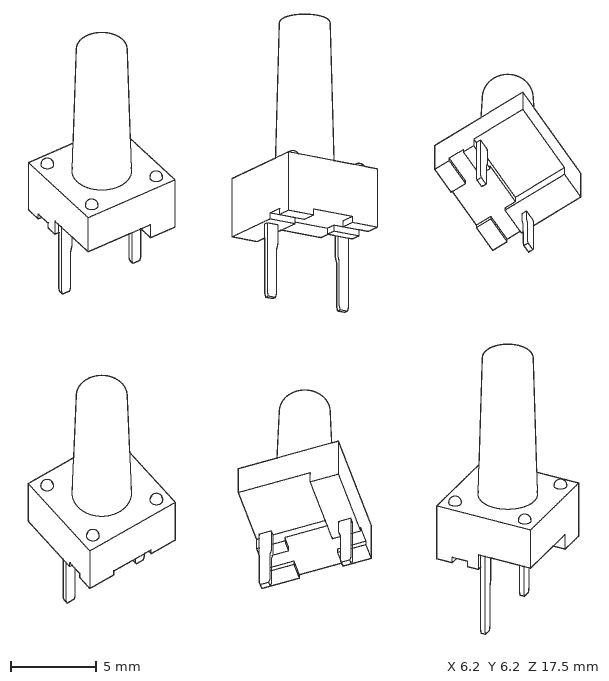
import cadquery as cq

BODY_SIDE = 6.2
HALF_SIDE = BODY_SIDE / 2
BODY_HEIGHT = 3.6
COVER_THICKNESS = 0.3

OVERALL_HEIGHT = 17.5
STEM_BASE_DIAMETER = 3.5
STEM_TOP_DIAMETER = 3.0
STEM_EDGE_ROUND = 0.15

RIVET_DIAMETER = 0.75
RIVET_SPACING = 4.6
RIVET_CENTER_HEIGHT = 0.03

PIN_LENGTH = 4.5
PIN_THICKNESS = 0.3
PIN_X_MIN = -0.35
PIN_OUTER_Y = 2.83
PIN_ROOT_WIDTH = 0.75
PIN_TIP_WIDTH = 0.65
PIN_SHOULDER_DEPTH = 1.15
PIN_TAPER_HEIGHT = 0.4
PIN_TIP_CHAMFER_HEIGHT = 0.25
PIN_TIP_CHAMFER_WIDTH = 0.07

SLOT_DEPTH = 0.37
WIDE_SLOT_WIDTH = 2.7
NARROW_SLOT_WIDTH = 1.0
NARROW_SLOT_X_MIN = -2.08
RECESS_HEIGHT = 1.0
RECESS_Y_MAX = WIDE_SLOT_WIDTH / 2

STEM_HEIGHT = OVERALL_HEIGHT - PIN_LENGTH - BODY_HEIGHT


def underside_cut(x_min, x_max, y_min, y_max, height):
    """Box rising from the underside of the housing."""
    size_x = x_max - x_min
    size_y = y_max - y_min
    return cq.Workplane("XY").box(size_x, size_y, height, centered=False).translate((x_min, y_min, 0))


def make_housing():
    """Square body with two crossing slots and a side recess in its underside."""
    body = cq.Workplane("XY").rect(BODY_SIDE, BODY_SIDE).extrude(BODY_HEIGHT - COVER_THICKNESS)
    wide_slot = underside_cut(-HALF_SIDE, HALF_SIDE, -WIDE_SLOT_WIDTH / 2, WIDE_SLOT_WIDTH / 2, SLOT_DEPTH)
    narrow_slot_x_max = NARROW_SLOT_X_MIN + NARROW_SLOT_WIDTH
    narrow_slot = underside_cut(NARROW_SLOT_X_MIN, narrow_slot_x_max, -HALF_SIDE, HALF_SIDE, SLOT_DEPTH)
    recess = underside_cut(PIN_X_MIN, HALF_SIDE, -HALF_SIDE, RECESS_Y_MAX, RECESS_HEIGHT)
    return body.cut(wide_slot).cut(narrow_slot).cut(recess)


def make_cover():
    """Thin square plate that closes the top of the housing."""
    cover_bottom = BODY_HEIGHT - COVER_THICKNESS
    return cq.Workplane("XY").workplane(offset=cover_bottom).rect(BODY_SIDE, BODY_SIDE).extrude(COVER_THICKNESS)


def make_stem():
    """Tapered round stem with a rounded top edge."""
    return (
        cq.Workplane("XY")
        .workplane(offset=BODY_HEIGHT)
        .circle(STEM_BASE_DIAMETER / 2)
        .workplane(offset=STEM_HEIGHT)
        .circle(STEM_TOP_DIAMETER / 2)
        .loft()
        .faces(">Z")
        .edges()
        .fillet(STEM_EDGE_ROUND)
    )


def make_rivets():
    """Four balls centred just above the cover, so that slightly more than half of each stands proud."""
    return (
        cq.Workplane("XY")
        .workplane(offset=BODY_HEIGHT + RIVET_CENTER_HEIGHT)
        .rect(RIVET_SPACING, RIVET_SPACING, forConstruction=True)
        .vertices()
        .sphere(RIVET_DIAMETER / 2)
    )


def make_front_pin():
    """Flat terminal with a one-sided shoulder and a chamfered tip."""
    outer_y = -PIN_OUTER_Y
    tip_inner_y = outer_y + PIN_TIP_WIDTH
    root_inner_y = outer_y + PIN_ROOT_WIDTH
    chamfer_top = PIN_TIP_CHAMFER_HEIGHT - PIN_LENGTH
    outline = [
        (outer_y, RECESS_HEIGHT),
        (outer_y, chamfer_top),
        (outer_y + PIN_TIP_CHAMFER_WIDTH, -PIN_LENGTH),
        (tip_inner_y - PIN_TIP_CHAMFER_WIDTH, -PIN_LENGTH),
        (tip_inner_y, chamfer_top),
        (tip_inner_y, -PIN_SHOULDER_DEPTH - PIN_TAPER_HEIGHT),
        (root_inner_y, -PIN_SHOULDER_DEPTH),
        (root_inner_y, RECESS_HEIGHT),
    ]
    return cq.Workplane("YZ").workplane(offset=PIN_X_MIN).polyline(outline).close().extrude(PIN_THICKNESS)


front_pin = make_front_pin()
back_pin = front_pin.mirror("XZ")

result = make_housing()
for piece in (make_cover(), make_stem(), make_rivets(), front_pin, back_pin):
    result = result.union(piece, clean=False)